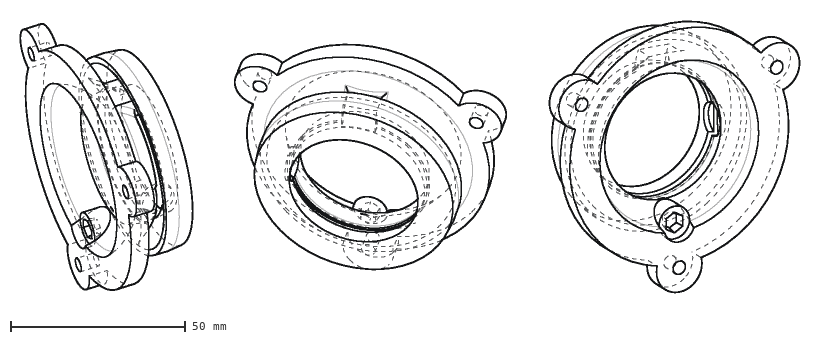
import cadquery as cq
import math

FLANGE_RADIUS = 36.0
FLANGE_THICKNESS = 5.6
TAB_CIRCLE_RADIUS = 37.0
TAB_RADIUS = 7.5
TAB_HOLE_RADIUS = 4.0 / 2
TAB_ANGLES = (30, 150, 270)

BORE_RADIUS = 38.15 / 2
MOUTH_RADIUS = 26.1
MOUTH_INNER_RADIUS = 25.0
MOUTH_DEPTH = 2.9
THROAT_Y = 9.65
FLARE_ROOT_RADIUS = 30.9
SHOULDER_RADIUS = 24.4
SHOULDER_Y = 10.6
LIP_OUTER_RADIUS = 20.6
LIP_OUTER_Y = 15.45
LIP_INNER_RADIUS = 19.95
LIP_INNER_Y = 14.3
MOUTH_CURVE_POINT = (22.6, 6.5)
FLARE_CURVE_POINT = (27.1, 7.4)
SHOULDER_CURVE_POINT = (23.25, 12.5)

RING_FRONT_Y = 14.0
RING_REAR_Y = 22.5
RING_FRONT_RADIUS = 29.85
RING_MIDDLE_RADIUS = 29.9
RING_REAR_RADIUS = 29.45
RING_MIDDLE_Y = 17.95
RECESS_TIP_RADIUS = 19.7
RECESS_TIP_Y = 17.55
RECESS_RADIUS = 28.0
RECESS_CURVE_POINT = (23.0, 16.7)

POST_WIDTH = 10.0
POST_TOP_Z = 25.7
POST_FRONT_Y = 7.25
POST_FILLET = 1.6

BOSS_RADIUS = 10.0 / 2
BOSS_Z = -24.15
SOCKET_MOUTH_FLATS = 5.5
SOCKET_FLOOR_FLATS = 4.5
SOCKET_DEPTH = 3.0

POCKET_RADIUS = 10.0 / 2
POCKET_Y = 15.45
POCKET_BOTTOM_X = 20.9


def cylinder_along_y(radius, y_start, y_end, x=0, z=0):
    start = cq.Vector(x, y_start, z)
    direction = cq.Vector(0, 1, 0)
    return cq.Workplane(cq.Solid.makeCylinder(radius, y_end - y_start, start, direction))


def revolve_about_y(profile):
    return profile.close().revolve(360, (0, 0, 0), (0, 1, 0))


def make_flange_plate():
    plate = cylinder_along_y(FLANGE_RADIUS, 0, FLANGE_THICKNESS)
    for angle in TAB_ANGLES:
        x = TAB_CIRCLE_RADIUS * math.cos(math.radians(angle))
        z = TAB_CIRCLE_RADIUS * math.sin(math.radians(angle))
        plate = plate.union(cylinder_along_y(TAB_RADIUS, 0, FLANGE_THICKNESS, x, z))
        plate = plate.cut(cylinder_along_y(TAB_HOLE_RADIUS, 0, FLANGE_THICKNESS, x, z))
    return plate.cut(cylinder_along_y(MOUTH_RADIUS, 0, FLANGE_THICKNESS))


def make_bell_envelope():
    return revolve_about_y(
        cq.Workplane("XY")
        .lineTo(0, LIP_OUTER_Y)
        .lineTo(LIP_OUTER_RADIUS, LIP_OUTER_Y)
        .threePointArc(SHOULDER_CURVE_POINT, (SHOULDER_RADIUS, SHOULDER_Y))
        .threePointArc(FLARE_CURVE_POINT, (FLARE_ROOT_RADIUS, FLANGE_THICKNESS))
        .lineTo(FLARE_ROOT_RADIUS, 0)
    )


def make_mouth():
    return revolve_about_y(
        cq.Workplane("XY")
        .lineTo(MOUTH_RADIUS, 0)
        .lineTo(MOUTH_INNER_RADIUS, MOUTH_DEPTH)
        .threePointArc(MOUTH_CURVE_POINT, (BORE_RADIUS, THROAT_Y))
        .lineTo(LIP_INNER_RADIUS, LIP_INNER_Y)
        .lineTo(LIP_INNER_RADIUS, RING_REAR_Y)
        .lineTo(0, RING_REAR_Y)
    )


def add_post(envelope):
    post = (
        cq.Workplane("XY")
        .box(POST_WIDTH, RING_MIDDLE_Y - POST_FRONT_Y, POST_TOP_Z, centered=(True, False, False))
        .translate((0, POST_FRONT_Y, 0))
    )
    around_post = cq.selectors.BoxSelector(
        (-POST_WIDTH, FLANGE_THICKNESS, LIP_OUTER_RADIUS), (POST_WIDTH, LIP_OUTER_Y, FLANGE_RADIUS)
    )
    return envelope.union(post).edges(around_post).edges("not %LINE").fillet(POST_FILLET)


def make_boss(envelope):
    return cylinder_along_y(BOSS_RADIUS, MOUTH_DEPTH, SHOULDER_Y, z=BOSS_Z).intersect(envelope)


def make_hexagon(across_flats, y):
    corner_radius = across_flats / math.sqrt(3)
    corner_angles = [math.radians(30 + 60 * i) for i in range(6)]
    corners = [
        cq.Vector(corner_radius * math.cos(angle), y, BOSS_Z + corner_radius * math.sin(angle))
        for angle in corner_angles
    ]
    return cq.Wire.makePolygon(corners, close=True)


def make_socket():
    mouth = make_hexagon(SOCKET_MOUTH_FLATS, MOUTH_DEPTH)
    floor = make_hexagon(SOCKET_FLOOR_FLATS, MOUTH_DEPTH + SOCKET_DEPTH)
    return cq.Workplane(cq.Solid.makeLoft([mouth, floor], True))


def make_pocket():
    start = cq.Vector(0, POCKET_Y, 0)
    direction = cq.Vector(1, 0, 0)
    return cq.Workplane(cq.Solid.makeCylinder(POCKET_RADIUS, POCKET_BOTTOM_X, start, direction))


def make_ring():
    return revolve_about_y(
        cq.Workplane("XY")
        .moveTo(RECESS_RADIUS, RING_FRONT_Y)
        .lineTo(RING_FRONT_RADIUS, RING_FRONT_Y)
        .lineTo(RING_MIDDLE_RADIUS, RING_MIDDLE_Y)
        .lineTo(RING_REAR_RADIUS, RING_REAR_Y)
        .lineTo(BORE_RADIUS, RING_REAR_Y)
        .lineTo(RECESS_TIP_RADIUS, RECESS_TIP_Y)
        .threePointArc(RECESS_CURVE_POINT, (RECESS_RADIUS, RING_FRONT_Y))
    ).cut(make_pocket())


def make_bell(ring):
    envelope = make_bell_envelope()
    bell = make_flange_plate().union(add_post(envelope).cut(make_mouth()))
    bell = bell.cut(cylinder_along_y(BOSS_RADIUS, 0, MOUTH_DEPTH, z=BOSS_Z))
    bell = bell.union(make_boss(envelope)).cut(make_socket())
    return bell.cut(make_pocket()).cut(ring)


ring = make_ring()
bell = make_bell(ring)
result = cq.Compound.makeCompound([bell.val(), ring.val()])